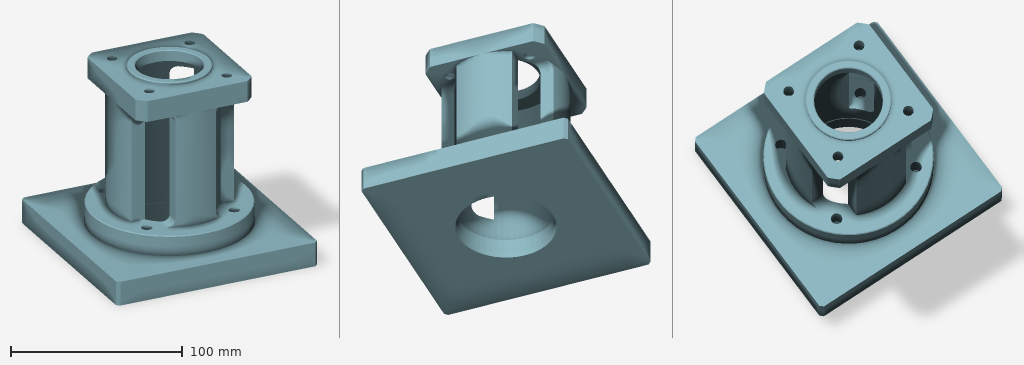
import cadquery as cq

base_side = 130.0
base_height = 15.2
base_corner_chamfer = 2.0

flange_diameter = 99.0
flange_height = 12.6
flange_chamfer = 0.5
recess_diameter = 100.0
recess_depth = 2.2

plate_side = 75.0
plate_height = 13.3
rim_diameter = 50.0
rim_height = 1.5
rim_chamfer = 0.5

tube_diameter = plate_side
cavity_diameter = 60.0
top_bore_diameter = 40.0
top_bore_depth = 7.0
base_bore_diameter = 59.0

front_post_width = 35.1
side_post_width = 26.0
window_radius = 5.0

plate_hole_diameter = 6.2
plate_hole_spacing = 50.0
flange_hole_diameter = 6.6
flange_hole_circle = 80.0
flange_hole_depth = flange_height

total_height = 115.0
seat_level = base_height - recess_depth
flange_top = base_height + flange_height
plate_top = total_height - rim_height
plate_bottom = plate_top - plate_height
cavity_top = total_height - top_bore_depth


def cylinder(diameter, bottom, top):
    """Upright cylinder on the Z axis between two levels."""
    return cq.Workplane("XY").workplane(offset=bottom).circle(diameter / 2).extrude(top - bottom)


def square_base():
    base = cq.Workplane("XY").rect(base_side, base_side).extrude(base_height)
    base = base.edges("|Z").chamfer(base_corner_chamfer)
    return base.cut(cylinder(recess_diameter, seat_level, base_height))


def flange():
    disc = cylinder(flange_diameter, seat_level, flange_top)
    return disc.faces(">Z").edges().chamfer(flange_chamfer)


def top_plate():
    outline = cq.Workplane("XY").workplane(offset=plate_bottom).rect(plate_side, plate_side)
    square = outline.extrude(plate_height)
    plate = square.intersect(cylinder(flange_diameter, plate_bottom, plate_top))
    rim = cylinder(rim_diameter, plate_top, total_height).faces(">Z").edges().chamfer(rim_chamfer)
    return plate.union(rim)


def corner_window(x_sign, y_sign):
    """Opening between two posts, rounded above and below along the side post."""
    length = plate_side / 2
    window = (
        cq.Workplane("XY")
        .box(length, length, plate_bottom - flange_top, centered=False)
        .edges("|X and <Y")
        .fillet(window_radius)
        .translate((front_post_width / 2, side_post_width / 2, flange_top))
    )
    if x_sign < 0:
        window = window.mirror("YZ")
    if y_sign < 0:
        window = window.mirror("XZ")
    return window


tube = cylinder(tube_diameter, flange_top, plate_bottom)
result = square_base().union(flange()).union(tube).union(top_plate())

result = result.cut(cylinder(base_bore_diameter, 0, seat_level))
result = result.cut(cylinder(cavity_diameter, seat_level, cavity_top))
result = result.cut(cylinder(top_bore_diameter, cavity_top, total_height))
top_bore_edge = result.faces(">Z").edges("%CIRCLE").edges(cq.selectors.RadiusNthSelector(0))
result = top_bore_edge.chamfer(rim_chamfer)

for x_sign in (-1, 1):
    for y_sign in (-1, 1):
        result = result.cut(corner_window(x_sign, y_sign))

plate_holes = (
    cq.Workplane("XY")
    .workplane(offset=plate_bottom)
    .rect(plate_hole_spacing, plate_hole_spacing, forConstruction=True)
    .vertices()
    .circle(plate_hole_diameter / 2)
    .extrude(plate_height)
)
flange_holes = (
    cq.Workplane("XY")
    .workplane(offset=flange_top - flange_hole_depth)
    .polarArray(flange_hole_circle / 2, 45, 360, 4)
    .circle(flange_hole_diameter / 2)
    .extrude(flange_hole_depth)
)
result = result.cut(plate_holes).cut(flange_holes)